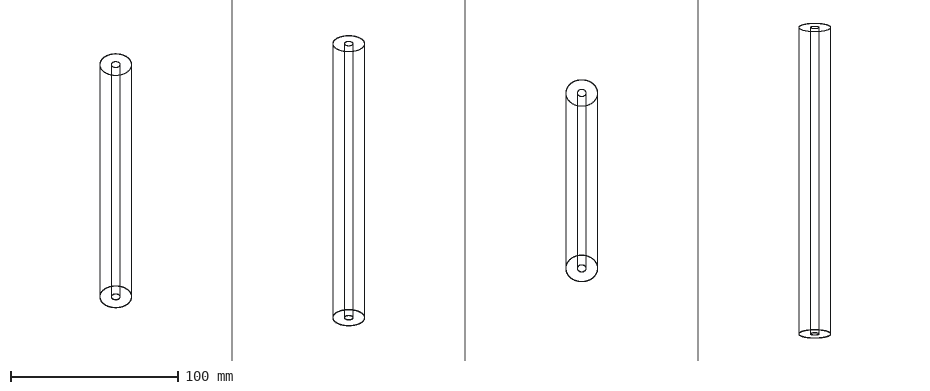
import cadquery as cq

total_length = 190.0
outer_diameter = 19.0
bore_diameter = 5.1
end_disc_thickness = 0.2


def ring(bottom, height):
    """Round bored body around the Z axis, starting at the given level."""
    return (
        cq.Workplane("XY", origin=(0, 0, bottom))
        .circle(outer_diameter / 2)
        .circle(bore_diameter / 2)
        .extrude(height)
    )


end_disc = ring(0, end_disc_thickness)

tube = ring(end_disc_thickness, total_length - end_disc_thickness)

result = cq.Compound.makeCompound([tube.val(), end_disc.val()])